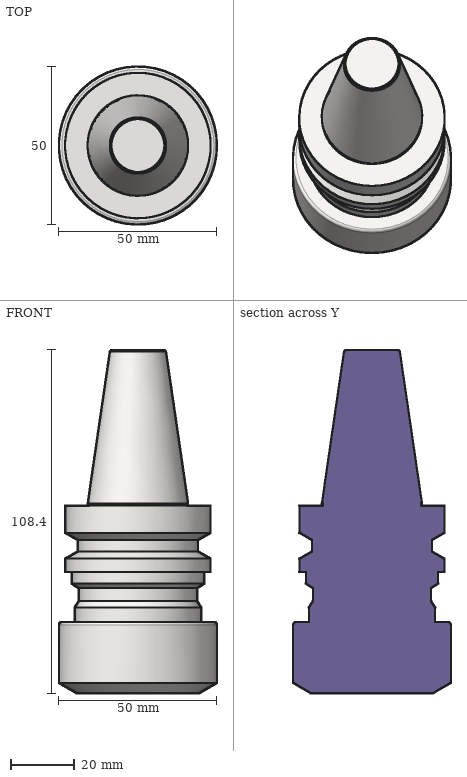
import cadquery as cq
import math

TOTAL_HEIGHT = 108.4

NUT_DIAMETER = 50.0
NUT_TOP = 22.5
NUT_EDGE_RADIUS = 1.0
NUT_CHAMFER_HEIGHT = 3.3
NUT_CHAMFER_ANGLE = 30.0

COLLAR_DIAMETER = 40.0
COLLAR_TOP = 27.1
NECK_DIAMETER = 37.5
NECK_BOTTOM = 29.0
NECK_TOP = 33.2
SHOULDER_DIAMETER = 42.0
SHOULDER_BOTTOM = 34.6

FLANGE_DIAMETER = 46.0
FLANGE_BOTTOM = 38.3
FLANGE_TOP = 59.2
GROOVE_DIAMETER = 38.0
GROOVE_BOTTOM_EDGE = 42.5
GROOVE_TOP_EDGE = 50.6
GROOVE_FLANK_ANGLE = 30.0

UNDERCUT_DIAMETER = 31.1
UNDERCUT_HEIGHT = 0.8
TAPER_LARGE_DIAMETER = 31.8
TAPER_RATE = 7 / 24
TIP_CHAMFER = 0.5


def radial_slope(angle):
    """Height gained per unit of radius on a cone inclined from horizontal."""
    return math.tan(math.radians(angle))


nut_radius = NUT_DIAMETER / 2
nut_base_radius = nut_radius - NUT_CHAMFER_HEIGHT / radial_slope(NUT_CHAMFER_ANGLE)
collar_radius = COLLAR_DIAMETER / 2
neck_radius = NECK_DIAMETER / 2
shoulder_radius = SHOULDER_DIAMETER / 2
flange_radius = FLANGE_DIAMETER / 2
groove_radius = GROOVE_DIAMETER / 2
groove_flank_height = (flange_radius - groove_radius) * radial_slope(GROOVE_FLANK_ANGLE)
undercut_radius = UNDERCUT_DIAMETER / 2
taper_bottom = FLANGE_TOP + UNDERCUT_HEIGHT
taper_top = TOTAL_HEIGHT - TIP_CHAMFER
taper_large_radius = TAPER_LARGE_DIAMETER / 2
taper_small_radius = taper_large_radius - TAPER_RATE * (taper_top - taper_bottom) / 2

arc_offset = NUT_EDGE_RADIUS * (1 - math.sqrt(0.5))
nut_arc_middle = (nut_radius - arc_offset, NUT_TOP - arc_offset)

profile = (
    cq.Workplane("XZ")
    .moveTo(0, 0)
    .lineTo(nut_base_radius, 0)
    .lineTo(nut_radius, NUT_CHAMFER_HEIGHT)
    .lineTo(nut_radius, NUT_TOP - NUT_EDGE_RADIUS)
    .threePointArc(nut_arc_middle, (nut_radius - NUT_EDGE_RADIUS, NUT_TOP))
    .lineTo(collar_radius, NUT_TOP)
    .lineTo(collar_radius, COLLAR_TOP)
    .lineTo(neck_radius, NECK_BOTTOM)
    .lineTo(neck_radius, NECK_TOP)
    .lineTo(shoulder_radius, SHOULDER_BOTTOM)
    .lineTo(shoulder_radius, FLANGE_BOTTOM)
    .lineTo(flange_radius, FLANGE_BOTTOM)
    .lineTo(flange_radius, GROOVE_BOTTOM_EDGE)
    .lineTo(groove_radius, GROOVE_BOTTOM_EDGE + groove_flank_height)
    .lineTo(groove_radius, GROOVE_TOP_EDGE - groove_flank_height)
    .lineTo(flange_radius, GROOVE_TOP_EDGE)
    .lineTo(flange_radius, FLANGE_TOP)
    .lineTo(undercut_radius, FLANGE_TOP)
    .lineTo(undercut_radius, taper_bottom)
    .lineTo(taper_large_radius, taper_bottom)
    .lineTo(taper_small_radius, taper_top)
    .lineTo(taper_small_radius - TIP_CHAMFER, TOTAL_HEIGHT)
    .lineTo(0, TOTAL_HEIGHT)
    .close()
)

result = profile.revolve(360, (0, 0, 0), (0, 1, 0))